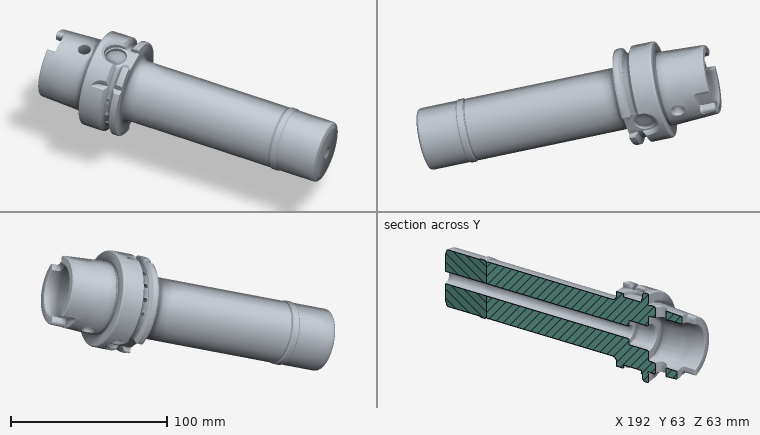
import cadquery as cq
import math


overall_length = 192.0
taper_end_x = 29.8
flange_x = 31.9
collar_end_x = 57.6
joint_x = 159.7

taper_large_r = 24.0
taper_run = 20.0
taper_small_r = taper_large_r - taper_end_x / taper_run
tip_chamfer = 0.5
relief_x = 30.7
relief_depth = 0.4
flange_recess_r = 25.0
flange_recess_depth = 0.5

flange_r = 31.5
rim_round = 1.2
collar_chamfer_length = 1.2
collar_chamfer_height = 0.4
groove_start_x = 46.5
groove_end_x = 53.5
groove_flank_length = 1.7
groove_flank_depth = 2.9
groove_floor_r = 27.5
groove_floor_chamfer = 0.5

shank_r = 20.2
shank_fillet = 3.0
joint_chamfer = 0.5
cap_neck_r = 19.5
cap_band_r = 20.7
cap_band_start_x = 160.3
cap_band_end_x = 164.4
cap_band_chamfer = 0.5
cap_end_round = 2.0
cap_nose_length = 0.5
cap_nose_r = 16.5

socket_mouth_r = 17.7
socket_mouth_chamfer = 0.5
socket_straight_depth = 13.8
socket_floor_r = 15.5
socket_floor_x = 32.0
counterbore_r = 8.5
counterbore_chamfer = 1.0
counterbore_depth = 15.4
coolant_r = 4.2
coolant_chamfer = 0.8
cross_hole_x = 22.7
cross_hole_r = 4.0
cross_hole_chamfer = 0.5
cross_hole_chamfer_z = 23.0

notch_half_width = 6.1
notch_edge_round = 2.1
notch_floor_fillet = 1.44
notch_tip_chamfer = 0.5
upper_notch_depth = 5.8
lower_notch_depth = 9.6

keyway_x = 45.0
keyway_half_width = 7.9
keyway_floor_z = 26.5
keyway_flange_chamfer = 1.5
keyway_collar_chamfer = 1.0
keyway_recess_r = 7.0
keyway_recess_depth = 2.3

corner_notch_offset = 20.2
corner_notch_x = 44.4
corner_notch_round = 7.7

groove_hole_r = 1.5
groove_hole_depth = 5.8
groove_hole_first_angle = 25.0
groove_hole_step = 20.0
groove_hole_count = 4

pick_margin = 0.2


def revolve_about_x(profile):
    """Turn a closed profile drawn in the XY plane about the X axis."""
    return profile.close().revolve(360, (0, 0, 0), (1, 0, 0))


def turned_holder():
    """Outside of the holder: taper, flange with V groove, collar and long shank."""
    flank_end_r = flange_r - groove_flank_depth
    groove_wall_start_x = groove_start_x + groove_flank_length
    groove_wall_end_x = groove_end_x - groove_flank_length
    profile = (
        cq.Workplane("XY")
        .moveTo(0, 0)
        .lineTo(0, taper_small_r - tip_chamfer)
        .lineTo(tip_chamfer, taper_small_r)
        .lineTo(taper_end_x, taper_large_r)
        .lineTo(relief_x, taper_large_r)
        .lineTo(relief_x + relief_depth, taper_large_r - relief_depth)
        .lineTo(flange_x + flange_recess_depth, taper_large_r - relief_depth)
        .lineTo(flange_x + flange_recess_depth, flange_recess_r)
        .lineTo(flange_x, flange_recess_r)
        .lineTo(flange_x, flange_r - rim_round)
        .radiusArc((flange_x + rim_round, flange_r), rim_round)
        .lineTo(groove_start_x, flange_r)
        .lineTo(groove_wall_start_x, flank_end_r)
        .lineTo(groove_wall_start_x, groove_floor_r + groove_floor_chamfer)
        .lineTo(groove_wall_start_x + groove_floor_chamfer, groove_floor_r)
        .lineTo(groove_wall_end_x - groove_floor_chamfer, groove_floor_r)
        .lineTo(groove_wall_end_x, groove_floor_r + groove_floor_chamfer)
        .lineTo(groove_wall_end_x, flank_end_r)
        .lineTo(groove_end_x, flange_r)
        .lineTo(collar_end_x - collar_chamfer_length, flange_r)
        .lineTo(collar_end_x, flange_r - collar_chamfer_height)
        .lineTo(collar_end_x, shank_r + shank_fillet)
        .radiusArc((collar_end_x + shank_fillet, shank_r), -shank_fillet)
        .lineTo(joint_x - joint_chamfer, shank_r)
        .lineTo(joint_x, shank_r - joint_chamfer)
        .lineTo(joint_x, 0)
    )
    return revolve_about_x(profile)


def axial_bore():
    """Socket in the tip, counterbore behind it and coolant bore to the joint."""
    socket_r = socket_mouth_r - socket_mouth_chamfer
    counterbore_floor_x = socket_floor_x + counterbore_depth
    profile = (
        cq.Workplane("XY")
        .moveTo(0, 0)
        .lineTo(0, socket_mouth_r)
        .lineTo(socket_mouth_chamfer, socket_r)
        .lineTo(socket_straight_depth, socket_r)
        .lineTo(socket_floor_x, socket_floor_r)
        .lineTo(socket_floor_x, counterbore_r + counterbore_chamfer)
        .lineTo(socket_floor_x + counterbore_chamfer, counterbore_r)
        .lineTo(counterbore_floor_x, counterbore_r)
        .lineTo(counterbore_floor_x, coolant_r + coolant_chamfer)
        .lineTo(counterbore_floor_x + coolant_chamfer, coolant_r)
        .lineTo(joint_x, coolant_r)
        .lineTo(joint_x, 0)
    )
    return revolve_about_x(profile)


def cross_hole():
    """Radial hole through the upper socket wall, chamfered at the outside."""
    rim_r = cross_hole_r + cross_hole_chamfer
    rim_z = cross_hole_chamfer_z + cross_hole_chamfer
    return (
        cq.Workplane("XZ", origin=(cross_hole_x, 0, 0))
        .moveTo(0, 0)
        .lineTo(cross_hole_r, 0)
        .lineTo(cross_hole_r, cross_hole_chamfer_z)
        .lineTo(rim_r, rim_z)
        .lineTo(rim_r, flange_r)
        .lineTo(0, flange_r)
        .close()
        .revolve(360, (0, 0, 0), (0, 1, 0))
    )


def drive_notch(depth):
    """Cutter for the notch in the upper tip wall, with its outer edges rounded over."""
    round_y = notch_half_width + notch_edge_round
    round_z = math.sqrt((taper_small_r - notch_edge_round) ** 2 - round_y**2)
    end_angle = math.atan2(round_z, round_y)
    mid_angle = (math.pi + end_angle) / 2
    mid_y = round_y + notch_edge_round * math.cos(mid_angle)
    mid_z = round_z + notch_edge_round * math.sin(mid_angle)
    end_y = round_y + notch_edge_round * math.cos(end_angle)
    end_z = round_z + notch_edge_round * math.sin(end_angle)
    notch = (
        cq.Workplane("YZ")
        .moveTo(-notch_half_width, 0)
        .lineTo(notch_half_width, 0)
        .lineTo(notch_half_width, round_z)
        .threePointArc((mid_y, mid_z), (end_y, end_z))
        .lineTo(end_y, flange_r)
        .lineTo(-end_y, flange_r)
        .lineTo(-end_y, end_z)
        .threePointArc((-mid_y, mid_z), (-notch_half_width, round_z))
        .close()
        .extrude(depth)
    )
    floor_edges = cq.selectors.BoxSelector(
        (depth - pick_margin, -end_y, pick_margin), (depth + pick_margin, end_y, end_z)
    )
    notch = notch.edges(floor_edges).fillet(notch_floor_fillet)
    wide_half = notch_half_width + notch_tip_chamfer
    tip_flare = (
        cq.Workplane("XY")
        .polyline(
            [
                (0, -wide_half),
                (notch_tip_chamfer, -notch_half_width),
                (notch_tip_chamfer, notch_half_width),
                (0, wide_half),
            ]
        )
        .close()
        .extrude(flange_r)
    )
    return notch.union(tip_flare)


def keyway():
    """Cutter for the upper keyway: round-ended slot with a round recess in its floor."""
    slot_length = 2 * (collar_end_x - keyway_x)
    slot = (
        cq.Workplane("XY", origin=(keyway_x + slot_length / 2, 0, keyway_floor_z))
        .slot2D(slot_length + 2 * keyway_half_width, 2 * keyway_half_width)
        .extrude(flange_r - keyway_floor_z)
    )
    recess = (
        cq.Workplane("XY", origin=(keyway_x, 0, keyway_floor_z - keyway_recess_depth))
        .circle(keyway_recess_r)
        .extrude(flange_r - keyway_floor_z)
    )
    return slot.union(recess)


def chamfer_keyway_rims(holder):
    """Break the edges where both keyways cut the outside of the flange and of the collar."""
    rim_y = keyway_half_width + pick_margin
    rim_z = math.sqrt(flange_r**2 - rim_y**2) - pick_margin
    for start_x, end_x, chamfer in [
        (flange_x, groove_start_x, keyway_flange_chamfer),
        (groove_end_x, collar_end_x - collar_chamfer_length, keyway_collar_chamfer),
    ]:
        for bottom_z, top_z in [(rim_z, flange_r), (-flange_r, -rim_z)]:
            rim = cq.selectors.BoxSelector((start_x, -rim_y, bottom_z), (end_x, rim_y, top_z))
            holder = holder.edges(rim).chamfer(chamfer)
    return holder


def corner_notch():
    """Cutter for the square notch in the rim, with a run-out that curves outwards."""
    outer_y = -corner_notch_offset - corner_notch_round
    return (
        cq.Workplane("XY", origin=(0, 0, corner_notch_offset))
        .moveTo(collar_end_x, -corner_notch_offset)
        .lineTo(corner_notch_x, -corner_notch_offset)
        .radiusArc((corner_notch_x - corner_notch_round, outer_y), -corner_notch_round)
        .lineTo(collar_end_x, outer_y)
        .close()
        .extrude(flange_r - corner_notch_offset)
    )


def groove_holes():
    """Cutters for the row of radial holes in the floor of the V groove."""
    groove_x = (groove_start_x + groove_end_x) / 2
    hole = (
        cq.Workplane("XZ", origin=(groove_x, -groove_floor_r + groove_hole_depth, 0))
        .circle(groove_hole_r)
        .extrude(flange_r - groove_floor_r + groove_hole_depth)
    )
    holes = []
    for index in range(groove_hole_count):
        angle = groove_hole_first_angle - index * groove_hole_step
        holes.append(hole.rotate((0, 0, 0), (1, 0, 0), -angle))
    return holes


def opposite(cutter):
    """Turn a cutter half a turn about the X axis."""
    return cutter.rotate((0, 0, 0), (1, 0, 0), 180)


def make_holder():
    holder = turned_holder().cut(axial_bore())
    holder = holder.cut(cross_hole()).cut(opposite(cross_hole()))
    holder = holder.cut(drive_notch(upper_notch_depth))
    holder = holder.cut(opposite(drive_notch(lower_notch_depth)))
    holder = holder.cut(keyway()).cut(opposite(keyway()))
    holder = chamfer_keyway_rims(holder)
    holder = holder.cut(corner_notch())
    for hole in groove_holes():
        holder = holder.cut(hole)
    return holder


def make_end_cap():
    """Cap on the end of the shank: neck, raised band, rounded end and coolant bore."""
    nose_base_x = overall_length - cap_nose_length
    profile = (
        cq.Workplane("XY")
        .moveTo(joint_x, coolant_r)
        .lineTo(joint_x, cap_neck_r)
        .lineTo(cap_band_start_x, cap_neck_r)
        .lineTo(cap_band_start_x, cap_band_r - cap_band_chamfer)
        .lineTo(cap_band_start_x + cap_band_chamfer, cap_band_r)
        .lineTo(cap_band_end_x, cap_band_r)
        .lineTo(cap_band_end_x + cap_band_r - shank_r, shank_r)
        .lineTo(nose_base_x - cap_end_round, shank_r)
        .radiusArc((nose_base_x, shank_r - cap_end_round), cap_end_round)
        .lineTo(overall_length, cap_nose_r)
        .lineTo(overall_length, coolant_r)
    )
    return revolve_about_x(profile)


holder = make_holder()
end_cap = make_end_cap()
result = cq.Compound.makeCompound([holder.solids().val(), end_cap.solids().val()])